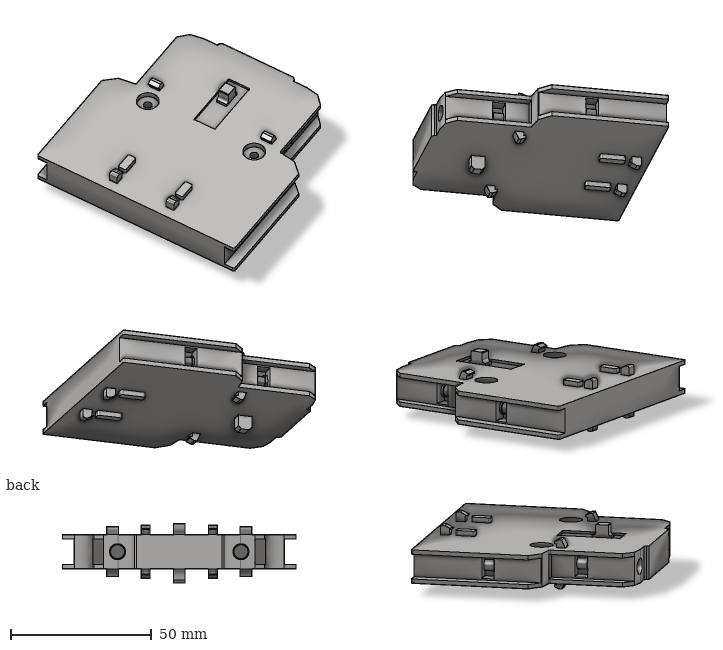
import cadquery as cq
import math


housing_thickness = 12.1
half_thickness = housing_thickness / 2
front_half_width = 41.5
front_side_end = 42.6
front_slope_half_width = 37.1
front_slope_start = 46.65
step_y = 47.65
rear_half_width = 30.3
rear_side_end = 74.45
rear_slope_half_width = 26.9
rear_slope_start = 78.0
back_half_width = 21.7
back_y = 78.9
tab_half_width = 15.9
tab_chamfer = 0.8
tab_back_y = 80.5
front_corner_radius = 0.7
step_fillet_radius = 0.5

channel_half_height = 4.5
front_core_half_width = 37.4
rear_core_half_width = rear_slope_half_width

screw_inset = 5.0
shank_radius = 2.0
head_radius = 2.5
head_length = 2.1
window_half_height = 3.9
driver_hole_radius = 2.8
front_terminals = (front_core_half_width, 24.8, 29.3, 28.6)
rear_terminals = (rear_core_half_width, 56.2, 60.9, 60.1)

fixing_x = 22.4
fixing_y = 43.0
counterbore_diameter = 8.05
counterbore_depth = 2.1
fixing_hole_diameter = 3.1
fixing_hole_depth = 8.3

recess_left = -3.9
recess_right = 4.9
recess_front = 44.5
recess_back = 67.5
recess_depth = 0.9
slider_width = 4.15
foot_front = 56.5
foot_back = 63.5
foot_rise = 0.1
knob_front = 57.85
knob_back = 62.5
knob_top = 10.05
knob_edge_chamfer = 0.25
knob_front_fillet = 1.2
knob_back_fillet = 0.9
tongue_front = 58.1
tongue_back = 63.2
tongue_bottom = -11.1
tongue_chamfer = 1.1

hook_x = 23.65
hook_width = 4.2
hook_root_front = 49.3
hook_root_back = 52.45
hook_crest_front = 50.1
hook_crest_back = 51.1
hook_top = 8.9
hook_nose_y = 48.5
hook_nose_top = 8.1
hook_nose_bottom = 7.6
hook_underside = 7.3
clip_x = 11.95
clip_width = 3.2
clip_front = 3.9
clip_back = 7.2
clip_nose_y = 8.05
clip_nose_z = 8.2
clip_crest_back = 5.6
clip_top = 9.5
clip_edge_radius = 0.6
key_front = 9.55
key_back_upper = 16.4
key_back_lower = 18.7
key_height = 1.8
key_corner_radius = 0.7

SIDES = (-1, 1)


def box(x_range, y_range, z_range):
    """Block between pairs of limits."""
    size = [high - low for low, high in (x_range, y_range, z_range)]
    return cq.Workplane().box(*size, centered=False).translate((x_range[0], y_range[0], z_range[0]))


def y_cylinder(radius, x, y_start, y_end):
    """Cylinder along Y at mid height."""
    solid = cq.Solid.makeCylinder(radius, y_end - y_start, cq.Vector(x, y_start, 0), cq.Vector(0, 1, 0))
    return cq.Workplane(obj=solid)


def extrude_profile(profile, x, width):
    """Extrude a Y-Z profile along X, centred on x."""
    return profile.close().extrude(width / 2, both=True).translate((x, 0, 0))


def housing_plate():
    """Full-thickness outline with its front corners and side steps rounded."""
    right_half = [
        (front_half_width, 0),
        (front_half_width, front_side_end),
        (front_slope_half_width, front_slope_start),
        (rear_half_width, step_y),
        (rear_half_width, rear_side_end),
        (rear_slope_half_width, rear_slope_start),
        (back_half_width, back_y),
        (tab_half_width, back_y),
        (tab_half_width, tab_back_y - tab_chamfer),
        (tab_half_width - tab_chamfer, tab_back_y),
    ]
    left_half = [(-x, y) for x, y in reversed(right_half)]
    plate = cq.Workplane("XY", origin=(0, 0, -half_thickness)).polyline(right_half + left_half).close()
    plate = plate.extrude(housing_thickness)
    for side in SIDES:
        corner = cq.selectors.NearestToPointSelector((side * front_half_width, 0, 0))
        plate = plate.edges("|Z").edges(corner).fillet(front_corner_radius)
        step = cq.selectors.NearestToPointSelector((side * rear_half_width, step_y, 0))
        plate = plate.edges("|Z").edges(step).fillet(step_fillet_radius)
    return plate


def side_channels(side):
    """Material removed between the flanges on one side."""
    z_range = (-channel_half_height, channel_half_height)
    front_x = sorted((side * front_core_half_width, side * front_half_width))
    rear_x = sorted((side * rear_core_half_width, side * front_half_width))
    return box(front_x, (0, tab_back_y), z_range).union(box(rear_x, (step_y, tab_back_y), z_range))


def terminal_window(side, terminal):
    """Pocket from the channel wall in to the screw axis."""
    core_half_width, window_front, window_back, _ = terminal
    x_range = sorted((side * core_half_width, side * (core_half_width - screw_inset)))
    return box(x_range, (window_front, window_back), (-window_half_height, window_half_height))


def terminal_screw(side, terminal):
    """Screw with its head towards the back."""
    core_half_width, window_front, _, head_y = terminal
    x = side * (core_half_width - screw_inset)
    shank = y_cylinder(shank_radius, x, window_front, head_y)
    return shank.union(y_cylinder(head_radius, x, head_y, head_y + head_length))


def driver_hole(side):
    """Bore from the back face down to a rear screw head."""
    core_half_width, _, _, head_y = rear_terminals
    x = side * (core_half_width - screw_inset)
    return y_cylinder(driver_hole_radius, x, head_y + head_length, tab_back_y)


def fixing_hole(side):
    """Blind hole with a counterbore, sunk into the top face."""
    top = cq.Workplane("XY", origin=(side * fixing_x, fixing_y, half_thickness))
    counterbore = top.circle(counterbore_diameter / 2).extrude(-counterbore_depth)
    return counterbore.union(top.circle(fixing_hole_diameter / 2).extrude(-fixing_hole_depth))


def snap_hook(x):
    """Upper rear hook, with its nose pointing to the front."""
    profile = (
        cq.Workplane("YZ")
        .moveTo(hook_root_back, half_thickness)
        .lineTo(hook_crest_back, hook_top)
        .lineTo(hook_crest_front, hook_top)
        .lineTo(hook_nose_y, hook_nose_top)
        .lineTo(hook_nose_y, hook_nose_bottom)
        .lineTo(hook_root_front, hook_underside)
        .lineTo(hook_root_front, half_thickness)
    )
    return extrude_profile(profile, x, hook_width)


def clip(x):
    """Upper front clip, with a pointed nose to the back and a rounded front edge."""
    corner_y = clip_front + clip_edge_radius
    corner_z = clip_top - clip_edge_radius
    arc_offset = clip_edge_radius * math.sqrt(0.5)
    profile = (
        cq.Workplane("YZ")
        .moveTo(clip_back, half_thickness)
        .lineTo(clip_back, clip_nose_z)
        .lineTo(clip_nose_y, clip_nose_z)
        .lineTo(clip_crest_back, clip_top)
        .lineTo(corner_y, clip_top)
        .threePointArc((corner_y - arc_offset, corner_z + arc_offset), (clip_front, corner_z))
        .lineTo(clip_front, half_thickness)
    )
    return extrude_profile(profile, x, clip_width)


def key(x, key_back, z_start):
    """Upright rounded block behind a clip."""
    block = box(
        (x - clip_width / 2, x + clip_width / 2),
        (key_front, key_back),
        (z_start, z_start + key_height),
    )
    return block.edges("|Z").fillet(key_corner_radius)


def make_slider():
    """Slider with a knob above, a foot on the recess floor and a tongue through the housing."""
    recess_floor = half_thickness - recess_depth
    lip_z = half_thickness + foot_rise
    front_offset = knob_front_fillet * (1 - math.sqrt(0.5))
    back_offset = knob_back_fillet * (1 - math.sqrt(0.5))
    front_middle = (knob_front - front_offset, lip_z + front_offset)
    back_middle = (knob_back + back_offset, lip_z + back_offset)
    profile = (
        cq.Workplane("YZ")
        .moveTo(tongue_front, tongue_bottom + tongue_chamfer)
        .lineTo(tongue_front, recess_floor)
        .lineTo(foot_front, recess_floor)
        .lineTo(foot_front, lip_z)
        .lineTo(knob_front - knob_front_fillet, lip_z)
        .threePointArc(front_middle, (knob_front, lip_z + knob_front_fillet))
        .lineTo(knob_front, knob_top - knob_edge_chamfer)
        .lineTo(knob_front + knob_edge_chamfer, knob_top)
        .lineTo(knob_back - knob_edge_chamfer, knob_top)
        .lineTo(knob_back, knob_top - knob_edge_chamfer)
        .lineTo(knob_back, lip_z + knob_back_fillet)
        .threePointArc(back_middle, (knob_back + knob_back_fillet, lip_z))
        .lineTo(foot_back, lip_z)
        .lineTo(foot_back, recess_floor)
        .lineTo(tongue_back, recess_floor)
        .lineTo(tongue_back, tongue_bottom + tongue_chamfer)
        .lineTo(tongue_back - tongue_chamfer, tongue_bottom)
        .lineTo(tongue_front + tongue_chamfer, tongue_bottom)
    )
    return extrude_profile(profile, 0, slider_width)


def make_housing(inserts):
    """Housing with seats that match the inserted bodies."""
    body = housing_plate()
    for side in SIDES:
        body = body.cut(side_channels(side)).cut(driver_hole(side)).cut(fixing_hole(side))
        for terminal in (front_terminals, rear_terminals):
            body = body.cut(terminal_window(side, terminal))

    recess_z = (half_thickness - recess_depth, half_thickness)
    body = body.cut(box((recess_left, recess_right), (recess_front, recess_back), recess_z))

    for side in SIDES:
        for lug in (snap_hook(side * hook_x), clip(side * clip_x)):
            body = body.union(lug).union(lug.mirror("XY"))
        body = body.union(key(side * clip_x, key_back_upper, half_thickness))
        body = body.union(key(side * clip_x, key_back_lower, -half_thickness - key_height))

    for insert in inserts:
        body = body.cut(insert)
    return body


slider = make_slider()
screws = [
    terminal_screw(side, terminal)
    for terminal in (front_terminals, rear_terminals)
    for side in SIDES
]
housing = make_housing([slider, *screws])

result = cq.Compound.makeCompound([body.solids().val() for body in (housing, slider, *screws)])